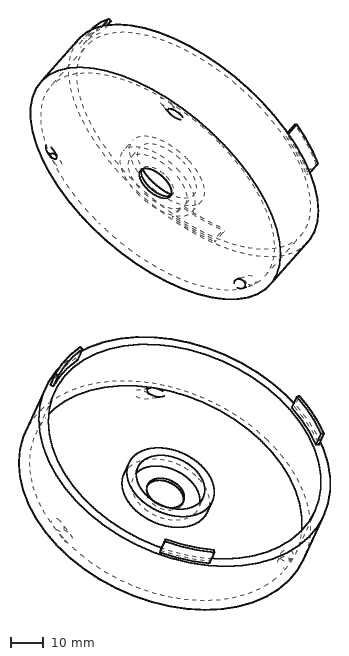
import cadquery as cq
import math

outer_diameter = 93.0
cavity_diameter = 87.0
body_depth = 20.0
floor_thickness = 1.0

shaft_hole_diameter = 12.0
seat_diameter = 21.9
seat_lip_thickness = floor_thickness
hub_wall = (outer_diameter - cavity_diameter) / 2
hub_depth = 5.95

tab_count = 3
tab_total_depth = 25.0
tab_outer_radius = 45.6
tab_inner_radius = 44.55
tab_half_angle = 10.0
first_tab_angle = 30.0

slant_hole_count = 3
slant_hole_length = 5.7
slant_hole_width = 3.4
slant_hole_offset_x = 7.4
slant_hole_offset_z = 40.5
slant_shift_x = -4.4
slant_shift_z = 1.1


def disc(diameter, start, end):
    """Cylinder along Y between two depths."""
    plane = cq.Workplane("XZ", origin=(0, start, 0))
    return plane.circle(diameter / 2).extrude(start - end)


def arc_tab(center_angle):
    """Curved tab standing on the rim, rooted at the open edge."""
    def point(radius, offset):
        angle = math.radians(center_angle + offset)
        return (radius * math.cos(angle), radius * math.sin(angle))

    return (
        cq.Workplane("XZ", origin=(0, body_depth, 0))
        .moveTo(*point(tab_inner_radius, -tab_half_angle))
        .lineTo(*point(tab_outer_radius, -tab_half_angle))
        .threePointArc(point(tab_outer_radius, 0), point(tab_outer_radius, tab_half_angle))
        .lineTo(*point(tab_inner_radius, tab_half_angle))
        .threePointArc(point(tab_inner_radius, 0), point(tab_inner_radius, -tab_half_angle))
        .close()
        .extrude(body_depth - tab_total_depth)
    )


def slanted_hole(turn):
    """Oblique elliptical cutter through the floor, turned about the Y axis."""
    cutter = (
        cq.Workplane("XZ")
        .center(slant_hole_offset_x, slant_hole_offset_z)
        .ellipse(slant_hole_length / 2, slant_hole_width / 2)
        .workplane(offset=-floor_thickness)
        .center(slant_shift_x, slant_shift_z)
        .ellipse(slant_hole_length / 2, slant_hole_width / 2)
        .loft(ruled=True)
    )
    return cutter.rotate((0, 0, 0), (0, 1, 0), turn)


result = disc(outer_diameter, 0, body_depth)
result = result.cut(disc(cavity_diameter, floor_thickness, body_depth))
result = result.union(disc(seat_diameter + 2 * hub_wall, 0, hub_depth))
result = result.cut(disc(shaft_hole_diameter, 0, hub_depth))
result = result.cut(disc(seat_diameter, seat_lip_thickness, hub_depth))

for index in range(tab_count):
    result = result.union(arc_tab(first_tab_angle + index * 360 / tab_count))

for index in range(slant_hole_count):
    result = result.cut(slanted_hole(index * 360 / slant_hole_count))